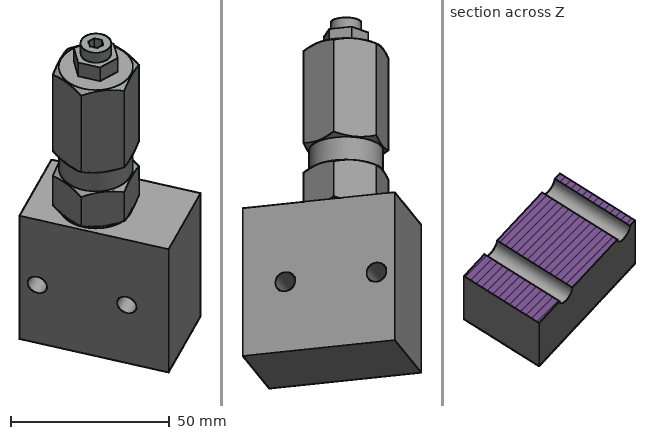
import cadquery as cq
import math

block_length = 50.0
block_width = 30.0
block_height = 50.0

mount_hole_diameter = 6.5
mount_hole_z = 23.6
first_hole_x = 6.0
mount_hole_spacing = 30.0

axis_x = 20.9
axis_y = 13.1
lower_hex_bottom = 50.8
lower_hex_top = 65.0
upper_hex_bottom = 72.6
upper_hex_top = 106.1
locknut_top = 111.6
stud_top = 115.7

hex_across_flats = 24.0
collar_diameter = 23.4
locknut_across_flats = 12.7
stud_diameter = 9.7
socket_across_flats = 4.3
socket_depth = 4.0
chamfer_angle = 30.0


def corner_diameter(across_flats):
    return across_flats / math.cos(math.radians(30))


def cylinder(diameter, bottom, top):
    plane = cq.Workplane("XY", origin=(axis_x, axis_y, bottom))
    return plane.circle(diameter / 2).extrude(top - bottom)


def hex_prism(across_flats, bottom, top, turn=0):
    """Hexagon on the cartridge axis; its corners lie along X when turn is 0."""
    prism = cq.Workplane("XY").polygon(6, corner_diameter(across_flats)).extrude(top - bottom)
    return prism.rotate((0, 0, 0), (0, 0, 1), turn).translate((axis_x, axis_y, bottom))


def chamfered_hex(bottom, top):
    """Hexagon with corners along Y, turned to a shallow cone at both ends."""
    face_radius = collar_diameter / 2
    corner_radius = corner_diameter(hex_across_flats) / 2
    cone_height = (corner_radius - face_radius) * math.tan(math.radians(chamfer_angle))
    turned_blank = (
        cq.Workplane("XZ")
        .moveTo(0, bottom)
        .lineTo(face_radius, bottom)
        .lineTo(corner_radius, bottom + cone_height)
        .lineTo(corner_radius, top - cone_height)
        .lineTo(face_radius, top)
        .lineTo(0, top)
        .close()
        .revolve(360, (0, 0, 0), (0, 1, 0))
        .translate((axis_x, axis_y, 0))
    )
    return hex_prism(hex_across_flats, bottom, top, turn=30).intersect(turned_blank)


block = cq.Workplane("XY").box(block_length, block_width, block_height, centered=False)
for hole_x in (first_hole_x, first_hole_x + mount_hole_spacing):
    hole = (
        cq.Workplane("XZ", origin=(hole_x, 0, mount_hole_z))
        .circle(mount_hole_diameter / 2)
        .extrude(-block_width)
    )
    block = block.cut(hole)

result = (
    block
    .union(cylinder(collar_diameter, block_height, lower_hex_bottom))
    .union(chamfered_hex(lower_hex_bottom, lower_hex_top))
    .union(cylinder(collar_diameter, lower_hex_top, upper_hex_bottom))
    .union(chamfered_hex(upper_hex_bottom, upper_hex_top))
    .union(hex_prism(locknut_across_flats, upper_hex_top, locknut_top))
    .union(cylinder(stud_diameter, locknut_top, stud_top))
    .cut(hex_prism(socket_across_flats, stud_top - socket_depth, stud_top))
)